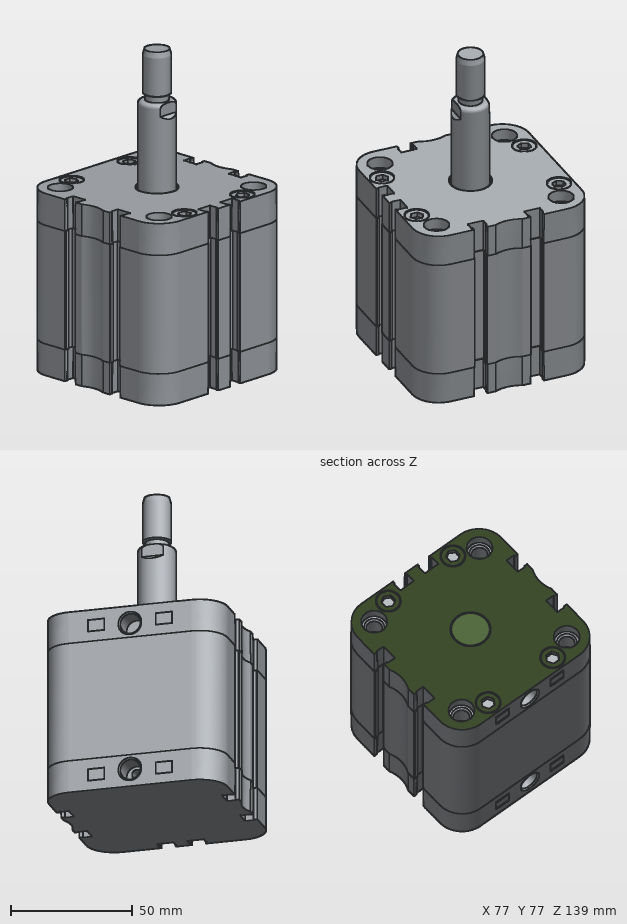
import cadquery as cq
import math

width = 77.0
half_width = width / 2
total_height = 139.0
body_height = 79.0
cap_height = 13.8
corner_radius = 12.0
cap_draft = 0.3

barrel_top = body_height - cap_height

hollow_width = 12.1
hollow_depth = 1.4
hollow_edge_radius = 1.0

slot_mouth = 5.1
slot_edge_chamfer = 0.35
slot_inner_width = 7.0
side_slot_offset = 12.8
side_slot_depth = 5.0
side_slot_lip = 1.8
back_slot_offset = 6.5
back_slot_depth = 4.9
back_slot_lip = 1.3
cap_slot_clearance = 0.4

mount_spacing = 56.5
mount_counterbore_diameter = 10.5
mount_counterbore_depth = 5.0
mount_mouth_diameter = 8.3
mount_thread_diameter = 6.7

screw_spacing_x = 64.5
screw_spacing_y = 34.6
screw_recess_diameter = 10.3
screw_head_diameter = 9.9
screw_sink = 0.4
screw_groove_depth = 1.1
screw_hex_size = 5.0
screw_hex_depth = 2.5

port_height = 7.5
port_mouth_diameter = 10.0
port_diameter = 8.6
port_depth = 9.7
air_passage_diameter = 4.0
air_passage_rise = 1.0
air_passage_depth = 7.0

label_spacing = 29.2
label_width = 7.0
label_height = 5.0
label_depth = 0.4
label_end_distance = 6.8

rod_diameter = 16.0
rod_shoulder_height = 116.9
rod_shoulder_radius = 1.8
flat_size = 12.9
flat_bottom_height = 111.8
thread_diameter = 12.0
thread_bottom_height = 120.0
thread_tip_diameter = 10.5
thread_tip_length = 2.5
undercut_diameter = 10.0
undercut_cone_length = 0.5
rod_mouth_diameter = 18.0
rod_mouth_depth = 0.1
rod_chamfer_diameter = 17.7
rod_seal_diameter = 16.5
rod_seal_depth = 2.8


def profile():
    """Rounded square with a shallow arc hollow in the -Y and +Y sides."""
    straight = half_width - corner_radius
    bend = corner_radius * math.sqrt(0.5)
    hollow = hollow_width / 2
    floor = half_width - hollow_depth
    return (
        cq.Workplane("XY")
        .moveTo(-straight, -half_width)
        .lineTo(-hollow, -half_width)
        .threePointArc((0, -floor), (hollow, -half_width))
        .lineTo(straight, -half_width)
        .threePointArc((straight + bend, -straight - bend), (half_width, -straight))
        .lineTo(half_width, straight)
        .threePointArc((straight + bend, straight + bend), (straight, half_width))
        .lineTo(hollow, half_width)
        .threePointArc((0, floor), (-hollow, half_width))
        .lineTo(-straight, half_width)
        .threePointArc((-straight - bend, straight + bend), (-half_width, straight))
        .lineTo(-half_width, -straight)
        .threePointArc((-straight - bend, -straight - bend), (-straight, -half_width))
        .close()
    )


def slot_cutter(mouth, chamfer, depth, lip, height, draft):
    """T-slot prism that opens towards +X at x = half_width, centred on y = 0."""
    mouth_half = mouth / 2
    inner_half = slot_inner_width / 2
    outside = half_width + lip
    lip_end = half_width - lip
    floor = half_width - depth
    upper_edge = [(outside, mouth_half + chamfer), (half_width, mouth_half + chamfer)]
    if chamfer:
        upper_edge.append((half_width - chamfer, mouth_half))
    upper_edge += [(lip_end, mouth_half), (lip_end, inner_half), (floor, inner_half)]
    lower_edge = [(x, -y) for x, y in reversed(upper_edge)]
    return cq.Workplane("XY").polyline(upper_edge + lower_edge).close().extrude(height, taper=-draft)


def cut_slots(body, chamfer, clearance, height, draft):
    """Cut two T-slots in each of the +X, +Y and -Y faces."""
    mouth = slot_mouth + 2 * clearance
    side = slot_cutter(mouth, chamfer, side_slot_depth + clearance, side_slot_lip, height, draft)
    back = slot_cutter(mouth, chamfer, back_slot_depth + clearance, back_slot_lip, height, draft)
    for sign in (-1, 1):
        body = body.cut(back.translate((0, sign * back_slot_offset, 0)))
        for angle in (-90, 90):
            turned = side.rotate((0, 0, 0), (0, 0, 1), angle)
            body = body.cut(turned.translate((sign * side_slot_offset, 0, 0)))
    return body


def make_blank_cap():
    """Drafted cap with its joint face at z = 0 and its outer end at z = cap_height."""
    cap = profile().extrude(cap_height, taper=cap_draft)
    return cut_slots(cap, 0, cap_slot_clearance, cap_height, cap_draft)


def chamfered_hole(depth, diameter, mouth_diameter):
    """Round cutter running down from z = 0, with a 45 degree chamfer at its mouth."""
    chamfer = (mouth_diameter - diameter) / 2
    hole = cq.Workplane("XY").circle(diameter / 2).extrude(-depth)
    cone = cq.Solid.makeCone(mouth_diameter / 2, diameter / 2, chamfer, dir=cq.Vector(0, 0, -1))
    return hole.union(cq.Workplane(cone))


def cut_mounting_holes(cap):
    """Counterbored, chamfered thread holes in the corners of the front cap."""
    thread = chamfered_hole(
        cap_height - mount_counterbore_depth, mount_thread_diameter, mount_mouth_diameter
    ).translate((0, 0, -mount_counterbore_depth))
    counterbore = (
        cq.Workplane("XY").circle(mount_counterbore_diameter / 2).extrude(-mount_counterbore_depth)
    )
    hole = counterbore.union(thread)
    for x in (-mount_spacing / 2, mount_spacing / 2):
        for y in (-mount_spacing / 2, mount_spacing / 2):
            cap = cap.cut(hole.translate((x, y, body_height)))
    return cap


def cut_screw_heads(cap):
    """Ring grooves and hex sockets of the four tie screws; the two sides are turned by 30 degrees."""
    groove = (
        cq.Workplane("XY")
        .circle(screw_recess_diameter / 2)
        .circle(screw_head_diameter / 2)
        .extrude(-screw_groove_depth)
    )
    corner_diameter = screw_hex_size / math.cos(math.radians(30))
    sink = cq.Workplane("XY").circle(screw_recess_diameter / 2).extrude(-screw_sink)
    socket = cq.Workplane("XY").polygon(6, corner_diameter).extrude(-screw_hex_depth)
    for side, turn in ((-1, 30), (1, 0)):
        head = groove.union(sink).union(socket.rotate((0, 0, 0), (0, 0, 1), turn))
        for end in (-1, 1):
            place = (side * screw_spacing_x / 2, end * screw_spacing_y / 2, body_height)
            cap = cap.cut(head.translate(place))
    return cap


def cut_port(cap, height):
    """Chamfered air port in the -X face at the given height."""
    face = half_width - (cap_height - port_height) * math.tan(math.radians(cap_draft))
    port = chamfered_hole(port_depth, port_diameter, port_mouth_diameter)
    lead_in = cq.Workplane("XY").circle(port_mouth_diameter / 2).extrude(half_width - face)
    cutter = port.union(lead_in).rotate((0, 0, 0), (0, 1, 0), -90)
    return cap.cut(cutter.translate((-face, 0, height)))


def cut_labels(cap, height):
    """Shallow rectangular label recesses on both sides of a port."""
    for y in (-label_spacing / 2, label_spacing / 2):
        recess = cq.Workplane("XY").box(2 * label_depth, label_width, label_height)
        cap = cap.cut(recess.translate((-half_width, y, height)))
    return cap


def make_barrel():
    """Solid barrel between the caps, with eased hollow and slot edges."""
    barrel_height = barrel_top - cap_height
    barrel = profile().extrude(barrel_height)
    hollow_zone = cq.selectors.BoxSelector(
        (-hollow_width, -width, -barrel_height), (hollow_width, width, 2 * barrel_height)
    )
    barrel = barrel.edges("|Z").edges(hollow_zone).fillet(hollow_edge_radius)
    barrel = cut_slots(barrel, slot_edge_chamfer, 0, barrel_height, 0)
    return barrel.translate((0, 0, cap_height))


def make_rear_cap():
    """Rear cap with a port and an air passage in the port floor."""
    cap = make_blank_cap().mirror("XY").translate((0, 0, cap_height))
    cap = cut_port(cap, port_height)
    passage = (
        cq.Workplane("YZ", origin=(-half_width, 0, port_height + air_passage_rise))
        .circle(air_passage_diameter / 2)
        .extrude(port_depth + air_passage_depth)
    )
    return cut_labels(cap.cut(passage), label_end_distance)


def make_front_cap():
    """Front cap with mounting holes, screw heads, a port and the rod bore."""
    cap = make_blank_cap().translate((0, 0, barrel_top))
    cap = cut_mounting_holes(cap)
    cap = cut_screw_heads(cap)
    cap = cut_port(cap, body_height - port_height)
    cap = cut_labels(cap, body_height - label_end_distance)
    seal = chamfered_hole(rod_seal_depth, rod_seal_diameter, rod_chamfer_diameter)
    mouth = cq.Workplane("XY").circle(rod_mouth_diameter / 2).extrude(-rod_mouth_depth)
    bore = cq.Workplane("XY").circle(rod_diameter / 2).extrude(-cap_height)
    rod_hole = seal.translate((0, 0, -rod_mouth_depth)).union(mouth).union(bore)
    return cap.cut(rod_hole.translate((0, 0, body_height)))


def make_rod():
    """Turned rod standing on the barrel, with a wrench flat on the -X and +X sides."""
    radius = rod_diameter / 2
    undercut_top = thread_bottom_height - undercut_cone_length
    shoulder_bend = rod_shoulder_radius * math.sqrt(0.5)
    round_x = radius - rod_shoulder_radius
    round_z = rod_shoulder_height - rod_shoulder_radius
    rod = (
        cq.Workplane("XZ")
        .moveTo(0, barrel_top)
        .lineTo(radius, barrel_top)
        .lineTo(radius, round_z)
        .threePointArc(
            (round_x + shoulder_bend, round_z + shoulder_bend), (round_x, rod_shoulder_height)
        )
        .lineTo(undercut_diameter / 2, rod_shoulder_height)
        .lineTo(undercut_diameter / 2, undercut_top)
        .lineTo(thread_diameter / 2, thread_bottom_height)
        .lineTo(thread_diameter / 2, total_height - thread_tip_length)
        .lineTo(thread_tip_diameter / 2, total_height)
        .lineTo(0, total_height)
        .close()
        .revolve(360, (0, 0, 0), (0, 1, 0))
    )
    flat = flat_size / 2
    for side in (-1, 1):
        cutter = (
            cq.Workplane("XZ")
            .polyline([
                (side * flat, rod_shoulder_height),
                (side * flat, flat_bottom_height),
                (side * rod_diameter, flat_bottom_height - (rod_diameter - flat)),
                (side * rod_diameter, rod_shoulder_height),
            ])
            .close()
            .extrude(radius, both=True)
        )
        rod = rod.cut(cutter)
    return rod


barrel = make_barrel()
rear_cap = make_rear_cap()
front_cap = make_front_cap()
rod = make_rod()

bodies = [barrel, rear_cap, front_cap, rod]
result = cq.Compound.makeCompound([body.solids().val() for body in bodies])